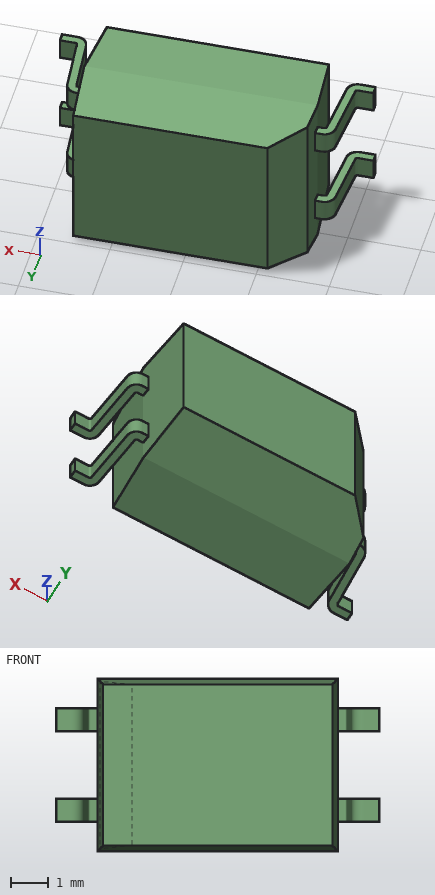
import cadquery as cq
import math

body_length = 6.38
body_height = 4.58
draft_inset = 0.155
back_depth = 1.81
front_depth = 1.83

bevel_top_x = -2.27
bevel_side_x = -3.12
bevel_side_y = 0.83

overall_length = 8.58
lead_thickness = 0.25
lead_width = 0.62
lead_pitch = 2.4
lead_top_y = 0.23
foot_clearance = 0.11
leg_lean = 5.0
inner_radius = 0.06
outer_radius = inner_radius + lead_thickness
lead_embed = 0.26
leg_top_x = 3.65


def make_body_half(depth):
    """Frustum from the parting plane to Y = depth, narrowing on all sides."""
    return (
        cq.Workplane("XZ")
        .rect(body_length, body_height)
        .workplane(offset=-depth)
        .rect(body_length - 2 * draft_inset, body_height - 2 * draft_inset)
        .loft(ruled=True)
    )


def make_bevel_cutter():
    """Wedge outside the bevel line, extended past the body at both ends."""
    slope = (back_depth - bevel_side_y) / (bevel_top_x - bevel_side_x)
    margin = 0.09
    corner_x = -body_length / 2 - margin
    corner_y = back_depth + margin
    return (
        cq.Workplane("XY")
        .moveTo(corner_x, bevel_side_y + slope * (corner_x - bevel_side_x))
        .lineTo(bevel_top_x + (corner_y - back_depth) / slope, corner_y)
        .lineTo(corner_x, corner_y)
        .close()
        .extrude(body_height, both=True)
    )


def make_lead():
    """Right-hand gull-wing lead centred on Z = 0."""
    tip_x = overall_length / 2
    foot_bottom_y = -front_depth - foot_clearance
    foot_top_y = foot_bottom_y + lead_thickness
    shoulder_under_y = lead_top_y - lead_thickness
    start_x = body_length / 2 - lead_embed
    lean = math.tan(math.radians(leg_lean))
    leg_width_x = lead_thickness / math.cos(math.radians(leg_lean))

    def outer_face_x(y):
        return leg_top_x + (lead_top_y - y) * lean

    def inner_face_x(y):
        return outer_face_x(y) - leg_width_x

    lead = (
        cq.Workplane("XY")
        .moveTo(start_x, lead_top_y)
        .lineTo(outer_face_x(lead_top_y), lead_top_y)
        .lineTo(outer_face_x(foot_top_y), foot_top_y)
        .lineTo(tip_x, foot_top_y)
        .lineTo(tip_x, foot_bottom_y)
        .lineTo(inner_face_x(foot_bottom_y), foot_bottom_y)
        .lineTo(inner_face_x(shoulder_under_y), shoulder_under_y)
        .lineTo(start_x, shoulder_under_y)
        .close()
        .extrude(lead_width / 2, both=True)
    )

    def round_bend(solid, x, y, radius):
        corner = cq.selectors.NearestToPointSelector((x, y, 0))
        return solid.edges("|Z").edges(corner).fillet(radius)

    lead = round_bend(lead, outer_face_x(lead_top_y), lead_top_y, outer_radius)
    lead = round_bend(lead, inner_face_x(shoulder_under_y), shoulder_under_y, inner_radius)
    lead = round_bend(lead, outer_face_x(foot_top_y), foot_top_y, inner_radius)
    return round_bend(lead, inner_face_x(foot_bottom_y), foot_bottom_y, outer_radius)


body = make_body_half(back_depth).union(make_body_half(-front_depth))
result = body.cut(make_bevel_cutter())

right_lead = make_lead()
left_lead = right_lead.mirror("YZ")
for lead_z in (-lead_pitch / 2, lead_pitch / 2):
    for lead in (right_lead, left_lead):
        result = result.union(lead.translate((0, 0, lead_z)))